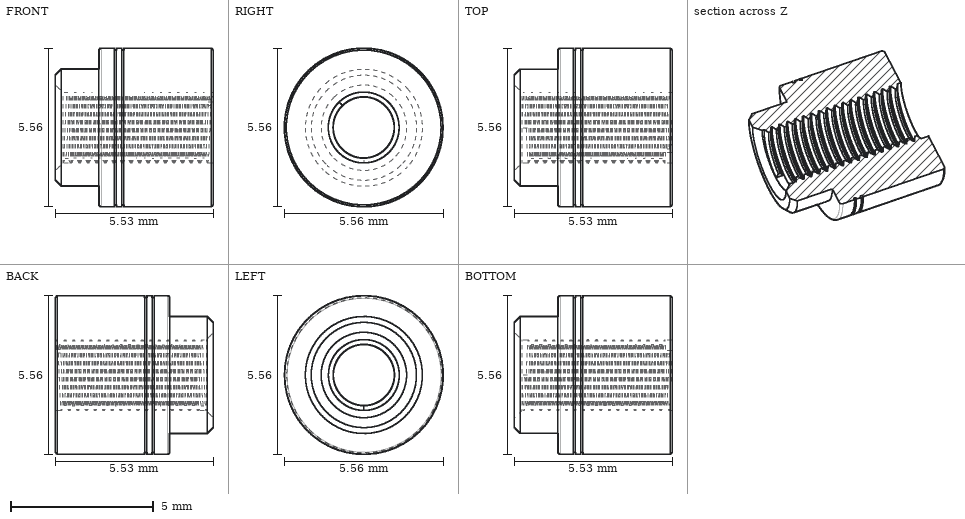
import cadquery as cq

body_diameter = 5.56
total_length = 5.53
shoulder_x = 1.53
front_rounding = 0.085
rear_chamfer = 0.07

neck_diameter = 4.1
neck_chamfer = 0.205

groove_starts = (2.07, 2.33)
groove_width = 0.07
groove_depth = 0.065
groove_cut_diameter = body_diameter + 0.055

bore_diameter = 2.48
countersink_diameter = 2.99
countersink_depth = (countersink_diameter - bore_diameter) / 2

thread_minor_diameter = 2.135
thread_pitch = 0.3
ridge_crest_width = thread_pitch / 4
ridge_base_width = thread_pitch * 7 / 8
ridge_embed = 0.02
ridge_end_gap = 0.005


def x_cylinder(diameter, start, end):
    """Solid cylinder along X between two X positions."""
    return cq.Workplane("YZ", origin=(start, 0, 0)).circle(diameter / 2).extrude(end - start)


def make_body():
    body = x_cylinder(body_diameter, shoulder_x, total_length)
    body = body.faces("<X").edges().fillet(front_rounding)
    return body.faces(">X").edges().chamfer(rear_chamfer)


def make_neck():
    neck = x_cylinder(neck_diameter, 0, shoulder_x)
    return neck.faces("<X").edges().chamfer(neck_chamfer)


def make_groove(start):
    """Ring that cuts one rectangular groove into the body's outside."""
    end = start + groove_width
    floor_diameter = body_diameter - 2 * groove_depth
    return x_cylinder(groove_cut_diameter, start, end).cut(x_cylinder(floor_diameter, start, end))


def make_bore():
    """Solid to cut away: the plain bore plus the countersink cone."""
    countersink = (
        cq.Workplane("XY")
        .polyline([
            (0, 0),
            (0, countersink_diameter / 2),
            (countersink_depth, bore_diameter / 2),
            (countersink_depth, 0),
        ])
        .close()
        .revolve(360, (0, 0, 0), (1, 0, 0))
    )
    return x_cylinder(bore_diameter, 0, total_length).union(countersink)


def make_thread_ridge():
    """Helical ridge swept along Z, then laid along X so that it starts at the bottom (-Z)."""
    bore_radius = bore_diameter / 2
    crest_radius = thread_minor_diameter / 2
    crest_half = ridge_crest_width / 2
    base_half = ridge_base_width / 2
    flank_slope = (base_half - crest_half) / (bore_radius - crest_radius)
    embedded_radius = bore_radius + ridge_embed
    embedded_half = base_half + ridge_embed * flank_slope
    start_x = countersink_depth + ridge_end_gap + base_half
    end_x = total_length - ridge_end_gap - embedded_half
    path = cq.Wire.makeHelix(thread_pitch, end_x - start_x, bore_radius)
    ridge = (
        cq.Workplane("XZ")
        .polyline([
            (embedded_radius, -embedded_half),
            (crest_radius, -crest_half),
            (crest_radius, crest_half),
            (embedded_radius, embedded_half),
        ])
        .close()
        .sweep(cq.Workplane(path), isFrenet=True)
    )
    return ridge.rotate((0, 0, 0), (0, 1, 0), 90).translate((start_x, 0, 0))


result = make_body().union(make_neck())
for groove_start in groove_starts:
    result = result.cut(make_groove(groove_start))
result = result.cut(make_bore()).union(make_thread_ridge())